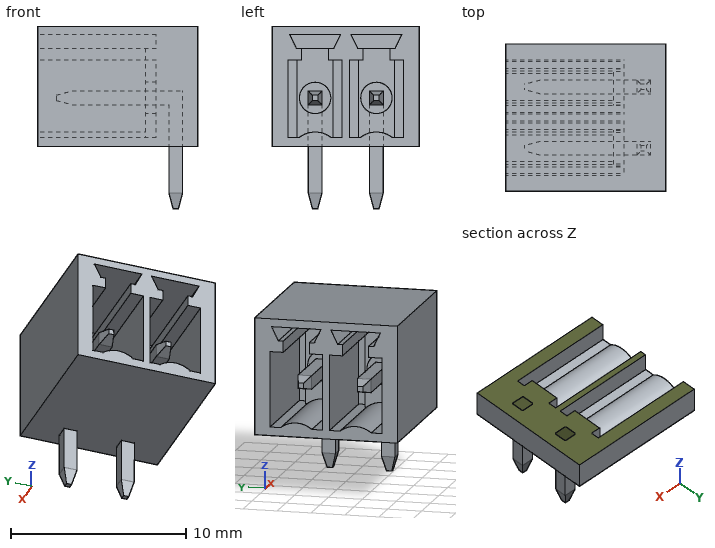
import cadquery as cq

HOUSING_LENGTH = 9.14
HOUSING_WIDTH = 8.41
HOUSING_HEIGHT = 6.86

CONTACT_COUNT = 2
PITCH = 3.5
CONTACT_YS = [(i - (CONTACT_COUNT - 1) / 2) * PITCH for i in range(CONTACT_COUNT)]

CAVITY_DEPTH = 6.77
POCKET_WIDTH = 3.09
POCKET_FLOOR = 0.51
POCKET_TOP = 4.93
NECK_WIDTH = 1.54
DOVETAIL_FLOOR = 5.59
DOVETAIL_TOP = 6.4
DOVETAIL_FLOOR_WIDTH = 2.11
DOVETAIL_TOP_WIDTH = 2.9

RIB_WIDTH = 1.84
RIB_HEIGHT = 0.32

PAD_WIDTH = 2.05
PAD_THICKNESS = 0.62

PIN_SIZE = 0.79
PIN_TIP_SIZE = 0.31
PIN_TAPER = 0.9
PIN_AXIS_Z = 2.78
PIN_START_X = 1.08
PIN_LEG_X = 7.88
PIN_BOTTOM_Z = HOUSING_HEIGHT - 10.41

COLLAR_DIAMETER = 1.79


def tapered_bar(plane, length):
    """Square bar running from a small tapered tip at the plane origin."""
    tip = (
        cq.Workplane(plane)
        .rect(PIN_TIP_SIZE, PIN_TIP_SIZE)
        .workplane(offset=PIN_TAPER)
        .rect(PIN_SIZE, PIN_SIZE)
        .loft(combine=True)
    )
    shank = (
        cq.Workplane(plane)
        .workplane(offset=PIN_TAPER)
        .rect(PIN_SIZE, PIN_SIZE)
        .extrude(length - PIN_TAPER)
    )
    return tip.union(shank)


def make_pin(y):
    """L-shaped pin: a contact along X and a solder leg along Z."""
    contact_plane = cq.Plane(origin=(PIN_START_X, y, PIN_AXIS_Z), xDir=(0, 1, 0), normal=(1, 0, 0))
    leg_plane = cq.Plane(origin=(PIN_LEG_X, y, PIN_BOTTOM_Z), xDir=(1, 0, 0), normal=(0, 0, 1))
    contact = tapered_bar(contact_plane, PIN_LEG_X + PIN_SIZE / 2 - PIN_START_X)
    leg = tapered_bar(leg_plane, PIN_AXIS_Z + PIN_SIZE / 2 - PIN_BOTTOM_Z)
    return contact.union(leg)


def make_collar(y, pin):
    """Ring with a square bore, reaching from the pad face to the cavity back."""
    disc = (
        cq.Workplane("YZ", origin=(CAVITY_DEPTH - PAD_THICKNESS, y, PIN_AXIS_Z))
        .circle(COLLAR_DIAMETER / 2)
        .extrude(PAD_THICKNESS)
    )
    return disc.cut(pin)


def make_cavity(y):
    """Space for one plug, with the floor rib and the back pad left standing."""
    mouth = cq.Workplane("YZ", origin=(0, y, 0))
    profile = (
        mouth.moveTo(-POCKET_WIDTH / 2, POCKET_FLOOR)
        .lineTo(-RIB_WIDTH / 2, POCKET_FLOOR)
        .threePointArc((0, POCKET_FLOOR + RIB_HEIGHT), (RIB_WIDTH / 2, POCKET_FLOOR))
        .lineTo(POCKET_WIDTH / 2, POCKET_FLOOR)
        .lineTo(POCKET_WIDTH / 2, POCKET_TOP)
        .lineTo(NECK_WIDTH / 2, POCKET_TOP)
        .lineTo(NECK_WIDTH / 2, DOVETAIL_FLOOR)
        .lineTo(DOVETAIL_FLOOR_WIDTH / 2, DOVETAIL_FLOOR)
        .lineTo(DOVETAIL_TOP_WIDTH / 2, DOVETAIL_TOP)
        .lineTo(-DOVETAIL_TOP_WIDTH / 2, DOVETAIL_TOP)
        .lineTo(-DOVETAIL_FLOOR_WIDTH / 2, DOVETAIL_FLOOR)
        .lineTo(-NECK_WIDTH / 2, DOVETAIL_FLOOR)
        .lineTo(-NECK_WIDTH / 2, POCKET_TOP)
        .lineTo(-POCKET_WIDTH / 2, POCKET_TOP)
        .close()
    )
    pad = cq.Workplane("XY", origin=(CAVITY_DEPTH - PAD_THICKNESS, y, 0)).box(
        PAD_THICKNESS, PAD_WIDTH, DOVETAIL_FLOOR, centered=(False, True, False)
    )
    return profile.extrude(CAVITY_DEPTH).cut(pad)


def make_housing(inserts):
    """Block with one cavity per contact and matching seats for the inserts."""
    block = cq.Workplane("XY").box(
        HOUSING_LENGTH, HOUSING_WIDTH, HOUSING_HEIGHT, centered=(False, True, False)
    )
    for y in CONTACT_YS:
        block = block.cut(make_cavity(y))
    for insert in inserts:
        block = block.cut(insert)
    return block


pins = [make_pin(y) for y in CONTACT_YS]
collars = [make_collar(y, pin) for y, pin in zip(CONTACT_YS, pins)]
housing = make_housing(pins + collars)

result = cq.Compound.makeCompound([housing.val(), *[body.val() for body in pins + collars]])